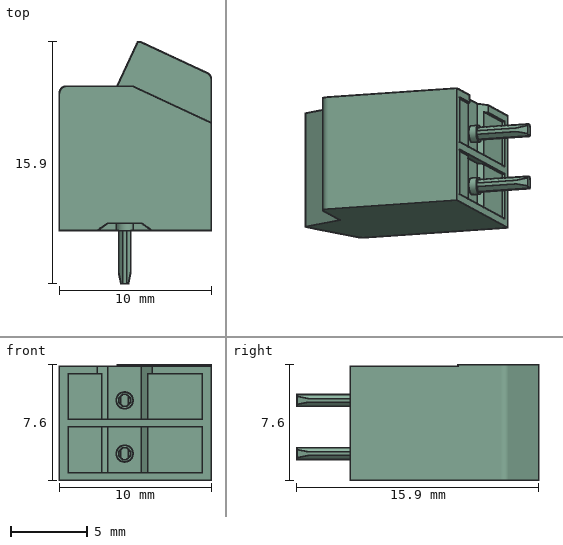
import cadquery as cq
import math

body_width = 10.0
body_depth = 9.5
body_height = 7.5
body_corner_radius = 0.5
slope_start_x = 4.8
slope_angle = math.radians(25)
slope_end_y = body_depth - (body_width - slope_start_x) * math.tan(slope_angle)

cap_height = 7.6
cap_start_x = 3.8
cap_peak_y = 12.4
cap_peak_flat = 0.2
cap_side_radius = 0.5

row_count = 2
pitch = 3.5
pin_x = 4.3
first_pin_z = 1.75
cell_side_wall = 0.6
cell_bottom_wall = 0.5
cell_height = 3.0
cell_depth = 0.2

channel_depth = 0.5
channel_floor_width = 2.2
channel_mouth_width = 3.6

boss_diameter = 1.1
pin_size = 0.8
pin_corner_chamfer = 0.28
pin_length = 3.5
pin_tip_width = 0.5
pin_tip_length = 0.75

row_offsets = [row * pitch for row in range(row_count)]


def make_body():
    outline = (
        cq.Workplane("XY")
        .lineTo(body_width, 0)
        .lineTo(body_width, slope_end_y)
        .lineTo(slope_start_x, body_depth)
        .lineTo(0, body_depth)
        .close()
    )
    body = outline.extrude(body_height)
    return body.edges("|Z and <X and >Y").fillet(body_corner_radius)


def make_cap():
    peak_x = cap_start_x + (cap_peak_y - body_depth) * math.tan(slope_angle)
    flat_end_x = peak_x + cap_peak_flat
    side_top_y = cap_peak_y - (body_width - flat_end_x) * math.tan(slope_angle)
    cap = (
        cq.Workplane("XY")
        .moveTo(cap_start_x, body_depth)
        .lineTo(slope_start_x, body_depth)
        .lineTo(body_width, slope_end_y)
        .lineTo(body_width, side_top_y)
        .lineTo(flat_end_x, cap_peak_y)
        .lineTo(peak_x, cap_peak_y)
        .close()
        .extrude(cap_height)
    )
    side_corner = cq.selectors.NearestToPointSelector((body_width, side_top_y, cap_height / 2))
    return cap.edges("|Z").edges(side_corner).fillet(cap_side_radius)


def make_cell(bottom_z):
    cell_width = body_width - 2 * cell_side_wall
    return cq.Workplane("XY").box(cell_width, cell_depth, cell_height, centered=False).translate(
        (cell_side_wall, 0, bottom_z)
    )


def make_channel(bottom_z, top_z):
    return (
        cq.Workplane("XY", origin=(pin_x, 0, bottom_z))
        .moveTo(-channel_mouth_width / 2, 0)
        .lineTo(-channel_floor_width / 2, channel_depth)
        .lineTo(channel_floor_width / 2, channel_depth)
        .lineTo(channel_mouth_width / 2, 0)
        .close()
        .extrude(top_z - bottom_z)
    )


def make_pin(pin_z):
    boss = (
        cq.Workplane("XZ", origin=(pin_x, 0, pin_z))
        .circle(boss_diameter / 2)
        .extrude(-channel_depth)
    )
    shank = (
        cq.Workplane("XZ", origin=(pin_x, 0, pin_z))
        .rect(pin_size, pin_size)
        .extrude(pin_length)
        .edges("|Y")
        .chamfer(pin_corner_chamfer)
    )
    taper = (
        cq.Workplane("XY", origin=(pin_x, 0, pin_z))
        .moveTo(-pin_size / 2, 0)
        .lineTo(pin_size / 2, 0)
        .lineTo(pin_size / 2, pin_tip_length - pin_length)
        .lineTo(pin_tip_width / 2, -pin_length)
        .lineTo(-pin_tip_width / 2, -pin_length)
        .lineTo(-pin_size / 2, pin_tip_length - pin_length)
        .close()
        .extrude(pin_size / 2, both=True)
    )
    return boss.union(shank.intersect(taper))


result = make_body().union(make_cap())

for offset in row_offsets:
    cell_bottom = cell_bottom_wall + offset
    is_upper = offset == max(row_offsets)
    channel_top = body_height if is_upper else cell_bottom + cell_height
    result = result.cut(make_cell(cell_bottom)).cut(make_channel(cell_bottom, channel_top))

for offset in row_offsets:
    result = result.union(make_pin(first_pin_z + offset))